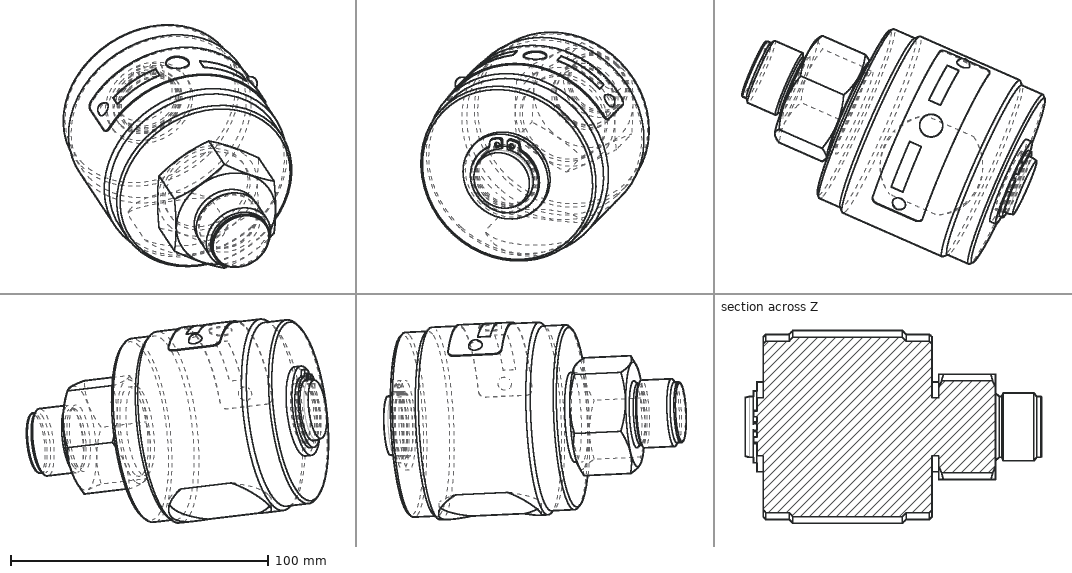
import cadquery as cq
import math

overall_length = 115.4

shaft_diameter = 23.8
shaft_tip_diameter = 22.8
shaft_tip_length = 1.7
ring_start = 3.2
washer_start = 4.6
washer_diameter = 35.0
washer_bore = 25.0
ring_thickness = washer_start - ring_start
ring_outer_diameter = 27.9
ring_eccentricity = 0.6
ear_tip_diameter = 32.1
ear_gap = 2.4
ear_foot_half_width = 6.5
ear_tip_half_width = 5.8
ear_fillet = 1.0
ear_hole_diameter = 2.0
ear_hole_spacing = 5.9
ear_hole_height = 13.3

housing_start = 7.0
housing_length = 65.7
housing_end = housing_start + housing_length
housing_middle = housing_start + housing_length / 2
flange_diameter = 72.0
flange_chamfer = 1.0
body_diameter = 75.0
body_length = 45.5
body_radius = body_diameter / 2
body_start = housing_middle - body_length / 2
body_end = housing_middle + body_length / 2
shoulder_chamfer = (body_diameter - flange_diameter) / 2

spot_face_diameter = 39.9
spot_face_height = 33.4

plate_thickness = 0.5
plate_radius = body_radius + plate_thickness
plate_width = 21.2
plate_half_angle = 61.0
plate_corner_radius = 2.5
plate_window_diameter = 9.0
label_start = housing_middle + 0.1
label_width = 5.0
label_depth = 0.1
label_near_angle = 13.8
label_far_angle = 44.4
rivet_diameter = 5.5
rivet_height = 2.1
rivet_angle = 53.3

collar_diameter = 35.0
nut_start = 75.2
nut_end = 97.4
nut_across_flats = 41.0
nut_across_corners = nut_across_flats / math.cos(math.radians(30))
nut_face_diameter = 40.7
nut_chamfer_angle = 30.0

neck_diameter = 23.8
neck_root_diameter = 26.1
neck_start = 98.8
neck_end = 99.7
thread_diameter = 26.4
thread_start = 100.4
thread_end = 112.3
pilot_start = 113.3
pilot_chamfer = 0.6
pilot_diameter = 23.8
pilot_tip_diameter = 23.0

overlap = 1.2


def turned(stations):
    """Solid of revolution about X from (x, diameter) stations."""
    first_x = stations[0][0]
    last_x = stations[-1][0]
    outline = [(first_x, 0)] + [(x, d / 2) for x, d in stations] + [(last_x, 0)]
    return cq.Workplane("XZ").polyline(outline).close().revolve(360, (0, 0), (1, 0))


def curved_block(x_start, width, inner_radius, outer_radius, start_angle, end_angle):
    """Block bent about X; angles are measured from +Z towards -Y."""
    return (
        cq.Workplane("XZ")
        .moveTo(x_start, inner_radius)
        .rect(width, outer_radius - inner_radius, centered=False)
        .revolve(end_angle - start_angle, (0, 0), (1, 0))
        .rotate((0, 0, 0), (1, 0, 0), start_angle)
    )


def make_housing():
    flange_face_diameter = flange_diameter - 2 * flange_chamfer
    housing = turned([
        (housing_start, flange_face_diameter),
        (housing_start + flange_chamfer, flange_diameter),
        (body_start, flange_diameter),
        (body_start + shoulder_chamfer, body_diameter),
        (body_end - shoulder_chamfer, body_diameter),
        (body_end, flange_diameter),
        (housing_end - flange_chamfer, flange_diameter),
        (housing_end, flange_face_diameter),
    ])
    spot_face = (
        cq.Workplane("XY", origin=(housing_middle, 0, -spot_face_height))
        .circle(spot_face_diameter / 2)
        .extrude(-body_radius)
    )
    return housing.cut(spot_face)


def make_plate():
    plate = curved_block(
        housing_middle - plate_width / 2, plate_width,
        body_radius - overlap, plate_radius,
        -plate_half_angle, plate_half_angle,
    )
    plate = plate.edges("%LINE and (not |X)").fillet(plate_corner_radius)
    window = (
        cq.Workplane("XY", origin=(housing_middle, 0, 0))
        .circle(plate_window_diameter / 2)
        .extrude(body_diameter)
    )
    plate = plate.cut(window)
    for start, end in ((label_near_angle, label_far_angle), (-label_far_angle, -label_near_angle)):
        label = curved_block(
            label_start, label_width,
            plate_radius - label_depth, plate_radius + overlap,
            start, end,
        )
        plate = plate.cut(label)
    return plate


def make_rivet(angle):
    """Ball-headed rivet at an angle from +Z."""
    center_radius = plate_radius + rivet_height - rivet_diameter / 2
    return (
        cq.Workplane("XY")
        .sphere(rivet_diameter / 2)
        .translate((housing_middle, 0, center_radius))
        .rotate((0, 0, 0), (1, 0, 0), angle)
    )


def make_shaft():
    return turned([
        (0, shaft_tip_diameter),
        (shaft_tip_length, shaft_diameter),
        (housing_start + overlap, shaft_diameter),
    ])


def make_washer():
    return (
        cq.Workplane("YZ", origin=(washer_start, 0, 0))
        .circle(washer_diameter / 2)
        .circle(washer_bore / 2)
        .extrude(housing_start - washer_start)
    )


def make_ear(side):
    """One ear of the retaining ring, on the +Y (side = 1) or -Y (side = -1) side of the gap."""
    tip_radius = ear_tip_diameter / 2
    inner = side * ear_gap / 2
    tip = side * ear_tip_half_width
    foot = side * ear_foot_half_width
    arc_middle = (inner + tip) / 2
    ring_height = math.sqrt((ring_outer_diameter / 2) ** 2 - foot**2) - ring_eccentricity

    def height_on_tip_circle(y):
        return math.sqrt(tip_radius**2 - y**2)

    ear = (
        cq.Workplane("YZ", origin=(ring_start, 0, 0))
        .moveTo(inner, 0)
        .lineTo(inner, height_on_tip_circle(inner))
        .threePointArc((arc_middle, height_on_tip_circle(arc_middle)), (tip, height_on_tip_circle(tip)))
        .lineTo(foot, ring_height)
        .lineTo(foot, 0)
        .close()
        .extrude(ring_thickness)
    )
    outer_corners = cq.selectors.BoxSelector(
        (ring_start - overlap, -tip_radius, ring_height + overlap),
        (washer_start + overlap, tip_radius, tip_radius),
    )
    return ear.edges("|X").edges(outer_corners).fillet(ear_fillet)


def make_retaining_ring():
    """External retaining ring, open at the top between two eyed ears."""
    plane = cq.Workplane("YZ", origin=(ring_start, 0, 0))
    ring = plane.center(0, -ring_eccentricity).circle(ring_outer_diameter / 2).extrude(ring_thickness)
    opening = (
        plane.center(0, ear_tip_diameter / 2)
        .rect(ear_gap, ear_tip_diameter)
        .extrude(ring_thickness)
    )
    ring = ring.cut(opening).union(make_ear(1)).union(make_ear(-1))
    eyes = (
        plane.pushPoints([(-ear_hole_spacing / 2, ear_hole_height), (ear_hole_spacing / 2, ear_hole_height)])
        .circle(ear_hole_diameter / 2)
        .extrude(ring_thickness)
    )
    return ring.cut(eyes)


def make_nut():
    hexagon = (
        cq.Workplane("YZ", origin=(nut_start, 0, 0))
        .polygon(6, nut_across_corners)
        .extrude(nut_end - nut_start)
        .rotate((0, 0, 0), (1, 0, 0), 90)
    )
    corner_depth = (nut_across_corners - nut_face_diameter) / 2
    chamfer_length = corner_depth * math.tan(math.radians(nut_chamfer_angle))
    envelope = turned([
        (nut_start, nut_face_diameter),
        (nut_start + chamfer_length, nut_across_corners),
        (nut_end - chamfer_length, nut_across_corners),
        (nut_end, nut_face_diameter),
    ])
    return hexagon.intersect(envelope)


def make_threaded_end():
    return turned([
        (nut_end - overlap, neck_root_diameter),
        (nut_end, neck_root_diameter),
        (neck_start, neck_diameter),
        (neck_end, neck_diameter),
        (thread_start, thread_diameter),
        (thread_end, thread_diameter),
        (pilot_start, pilot_diameter),
        (overall_length - pilot_chamfer, pilot_diameter),
        (overall_length, pilot_tip_diameter),
    ])


collar = turned([
    (housing_end - overlap, collar_diameter),
    (nut_start + overlap, collar_diameter),
])

result = make_housing()
for piece in (
    make_plate(),
    make_rivet(rivet_angle),
    make_rivet(-rivet_angle),
    make_shaft(),
    make_washer(),
    make_retaining_ring(),
    collar,
    make_nut(),
    make_threaded_end(),
):
    result = result.union(piece)